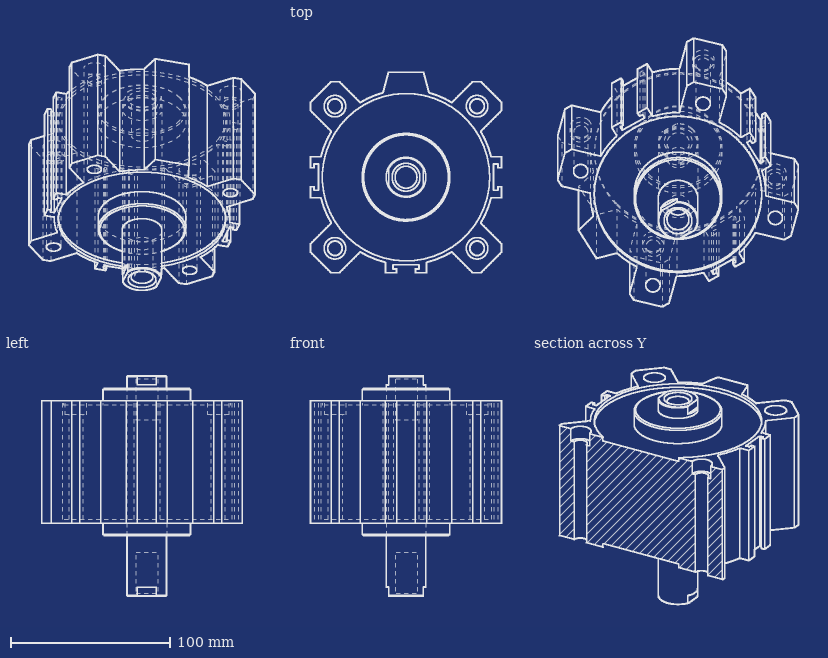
import cadquery as cq
import math

body_height = 77.0
body_diameter = 110.0
flange_half = 60.0

lug_width = 25.7
lug_reach = 75.6
lug_hole_offset = 44.6
lug_hole_diameter = 9.0
counterbore_diameter = 13.5
counterbore_depth = 8.5

rail_half_width = 13.0
slot_mouth_half = 6.0
slot_inner_half = 8.1
slot_lip = 2.5
slot_depth = flange_half - body_diameter / 2

pad_reach = 66.0
pad_half_width = 11.0
pad_taper_angle = 15.0

recess_diameter = 105.0
recess_depth = 2.5
collar_diameter = 55.0
collar_height = 7.7
collar_chamfer = 1.0

rod_diameter = 25.0
rod_length = 138.0
rod_top_stickout = 7.7
rod_edge_chamfer = 0.4
flat_spacing = 22.0
flat_length = 5.5
thread_hole_diameter = 13.8
thread_hole_depth = 27.6
thread_countersink_diameter = 17.5

rod_top = body_height + collar_height + rod_top_stickout
rod_bottom = rod_top - rod_length


def make_lugs():
    """Two crossed diagonal bars, with their corners trimmed by the flange square."""
    bars = cq.Workplane("XY")
    for angle in (45, 135):
        bar = cq.Workplane("XY").rect(2 * lug_reach, lug_width).extrude(body_height)
        bars = bars.add(bar.rotate((0, 0, 0), (0, 0, 1), angle))
    trim = cq.Workplane("XY").rect(2 * flange_half, 2 * flange_half).extrude(body_height)
    return bars.combine().intersect(trim)


def make_rail(angle):
    """Rail with an outward-facing T-slot, built towards +X and turned about Z."""
    slot_floor = flange_half - slot_depth
    lip_back = flange_half - slot_lip
    half_outline = [
        (0, rail_half_width),
        (flange_half, rail_half_width),
        (flange_half, slot_mouth_half),
        (lip_back, slot_mouth_half),
        (lip_back, slot_inner_half),
        (slot_floor, slot_inner_half),
    ]
    mirrored_half = [(x, -y) for x, y in reversed(half_outline)]
    rail = cq.Workplane("XY").polyline(half_outline + mirrored_half).close().extrude(body_height)
    return rail.rotate((0, 0, 0), (0, 0, 1), angle)


def make_pad():
    """Pad that narrows outward, rooted inside the cylinder."""
    root_y = body_diameter / 4
    root_half_width = pad_half_width + (pad_reach - root_y) * math.tan(math.radians(pad_taper_angle))
    outline = [
        (-root_half_width, root_y),
        (root_half_width, root_y),
        (pad_half_width, pad_reach),
        (-pad_half_width, pad_reach),
    ]
    return cq.Workplane("XY").polyline(outline).close().extrude(body_height)


def make_housing():
    housing = cq.Workplane("XY").circle(body_diameter / 2).extrude(body_height)
    housing = housing.union(make_lugs()).union(make_pad())
    for angle in (0, 180, 270):
        housing = housing.union(make_rail(angle))

    recess = cq.Workplane("XY").circle(recess_diameter / 2).extrude(recess_depth)
    housing = housing.cut(recess)
    housing = housing.cut(recess.translate((0, 0, body_height - recess_depth)))

    collars = (
        cq.Workplane("XY")
        .workplane(offset=-collar_height)
        .circle(collar_diameter / 2)
        .extrude(body_height + 2 * collar_height)
        .edges()
        .chamfer(collar_chamfer)
    )
    housing = housing.union(collars)

    housing = (
        housing.copyWorkplane(cq.Workplane("XY", origin=(0, 0, body_height)))
        .rect(2 * lug_hole_offset, 2 * lug_hole_offset, forConstruction=True)
        .vertices()
        .cboreHole(lug_hole_diameter, counterbore_diameter, counterbore_depth)
    )

    bore = (
        cq.Workplane("XY")
        .workplane(offset=rod_bottom)
        .circle(rod_diameter / 2)
        .extrude(rod_length)
    )
    return housing.cut(bore)


def make_rod_end_cut():
    """Material removed at the lower rod end: two flats and a countersunk thread hole."""
    flat_depth = rod_diameter / 2
    flats = (
        cq.Workplane("XY")
        .pushPoints([(side * (flat_spacing + flat_depth) / 2, 0) for side in (-1, 1)])
        .rect(flat_depth, rod_diameter)
        .extrude(flat_length)
    )
    hole = cq.Workplane("XY").circle(thread_hole_diameter / 2).extrude(thread_hole_depth)
    countersink_depth = (thread_countersink_diameter - thread_hole_diameter) / 2
    countersink = cq.Workplane("XY").add(
        cq.Solid.makeCone(thread_countersink_diameter / 2, thread_hole_diameter / 2, countersink_depth)
    )
    return flats.union(hole.union(countersink)).translate((0, 0, rod_bottom))


def make_rod():
    rod = (
        cq.Workplane("XY")
        .workplane(offset=rod_bottom)
        .circle(rod_diameter / 2)
        .extrude(rod_length)
        .edges()
        .chamfer(rod_edge_chamfer)
    )
    lower_cut = make_rod_end_cut()
    upper_cut = lower_cut.mirror("XY", (0, 0, (rod_top + rod_bottom) / 2))
    return rod.cut(lower_cut).cut(upper_cut)


housing = make_housing()
rod = make_rod()

result = cq.Compound.makeCompound([housing.val(), rod.val()])